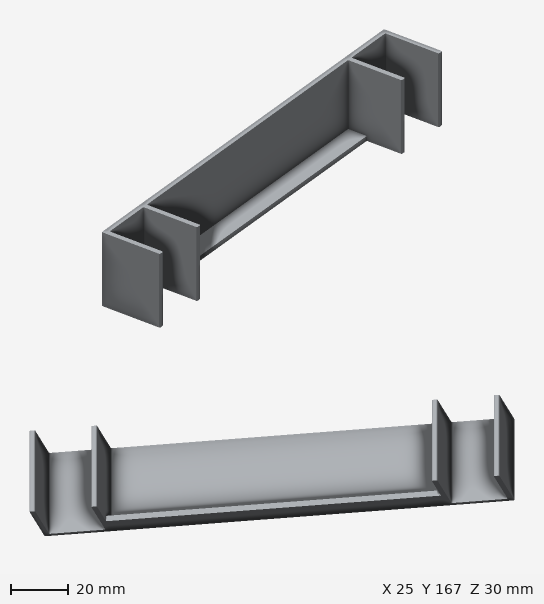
import cadquery as cq

depth = 25.0
length = 167.0
height = 30.0
wall = 2.0
corner_radius = 0.5

bay_length = 119.0
ledge_reach = 8.0
ledge_thickness = 2.0


def block(size_x, size_y, size_z, center_y=0.0):
    """Block standing on Z = 0 with its back face on X = 0, centred on center_y."""
    solid = cq.Workplane("XY").box(size_x, size_y, size_z, centered=(False, True, False))
    return solid.translate((0, center_y, 0))


def walls():
    """Back wall with two pairs of flanges, all vertical edges and inner corners rounded."""
    end_flange_y = (length - wall) / 2
    bay_flange_y = (bay_length + wall) / 2
    body = block(wall, length, height)
    for flange_y in (end_flange_y, bay_flange_y):
        for side in (-1, 1):
            body = body.union(block(depth, wall, height, side * flange_y))
    return body.edges("|Z").fillet(corner_radius)


def ledge():
    """Bottom strip joining the back wall and the two inner flanges."""
    return block(wall + ledge_reach, bay_length, ledge_thickness)


result = walls().union(ledge())